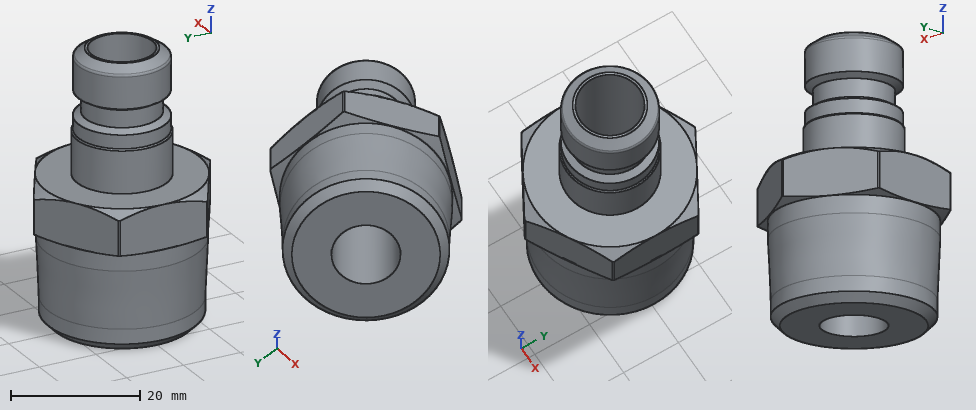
import cadquery as cq
import math

height = 46.0
bottom_chamfer_top = 1.43
taper_bottom = 4.0
taper_top = 14.08
hex_bottom = 17.0
hex_top = 24.7
shoulder_top = 32.25

bore_diameter = 10.7
tip_diameter = 11.6
plug_diameter = 15.25
groove_diameter = 12.8
shoulder_diameter = 15.8
shank_top_diameter = 26.75
shank_bottom_diameter = 25.9
bottom_diameter = 23.0

shoulder_chamfer = (shoulder_diameter - plug_diameter) / 2

across_flats = 27.0
corner_diameter = 31.0
top_chamfer_angle = 30.0
bottom_chamfer_angle = 15.0

tip_chamfer_height = 1.25
tip_edge_radius = 0.5
groove_upper_edge = 39.0
groove_upper_floor = 38.25
groove_lower_floor = 35.3
groove_lower_edge = 34.6


def revolve_profile(points):
    """Revolve a closed (radius, height) outline about the Z axis."""
    return cq.Workplane("XZ").polyline(points).close().revolve(360, (0, 0, 0), (0, 1, 0))


def make_body():
    """Turned body: tapered shank below, stepped plug with a groove above."""
    diameters_and_heights = [
        (0, 0),
        (bottom_diameter, 0),
        (shank_bottom_diameter, bottom_chamfer_top),
        (shank_bottom_diameter, taper_bottom),
        (shank_top_diameter, taper_top),
        (shank_top_diameter, hex_bottom),
        (shoulder_diameter, hex_bottom),
        (shoulder_diameter, shoulder_top - shoulder_chamfer),
        (plug_diameter, shoulder_top),
        (plug_diameter, groove_lower_edge),
        (groove_diameter, groove_lower_floor),
        (groove_diameter, groove_upper_floor),
        (plug_diameter, groove_upper_edge),
        (plug_diameter, height - tip_chamfer_height),
        (tip_diameter, height),
        (0, height),
    ]
    body = revolve_profile([(diameter / 2, z) for diameter, z in diameters_and_heights])
    tip_edge = cq.selectors.BoxSelector(
        (-plug_diameter, -plug_diameter, height - 2 * tip_chamfer_height),
        (plug_diameter, plug_diameter, height - tip_chamfer_height / 2),
        boundingbox=True,
    )
    return body.edges(tip_edge).fillet(tip_edge_radius)


def make_hex():
    """Hexagon with corners along Y, trimmed by a double-chamfered disc."""
    flat_radius = across_flats / 2
    corner_radius = corner_diameter / 2
    overhang = corner_radius - flat_radius
    top_drop = overhang * math.tan(math.radians(top_chamfer_angle))
    bottom_rise = overhang * math.tan(math.radians(bottom_chamfer_angle))
    prism = (
        cq.Workplane("XY", origin=(0, 0, hex_bottom))
        .polygon(6, across_flats, circumscribed=True)
        .extrude(hex_top - hex_bottom)
    )
    disc = revolve_profile([
        (0, hex_bottom),
        (flat_radius, hex_bottom),
        (corner_radius, hex_bottom + bottom_rise),
        (corner_radius, hex_top - top_drop),
        (flat_radius, hex_top),
        (0, hex_top),
    ])
    return prism.intersect(disc)


bore = cq.Workplane("XY").circle(bore_diameter / 2).extrude(height)
result = make_body().union(make_hex()).cut(bore)